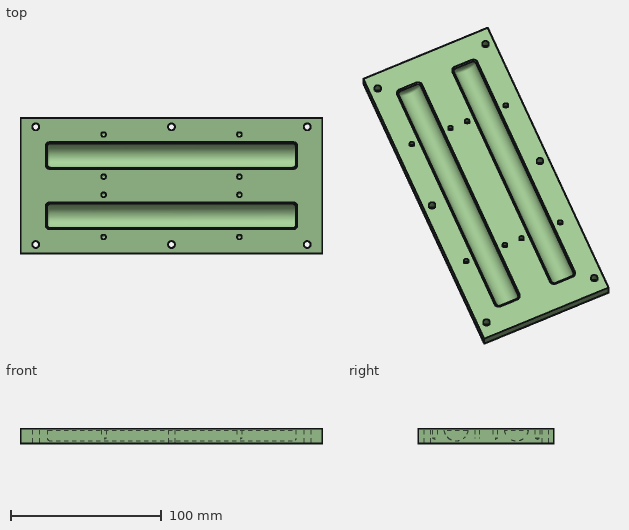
import cadquery as cq
import math

LENGTH = 200.0
WIDTH = 90.0
THICKNESS = 10.0

TROUGH_SPACING = 40.0
TROUGH_LENGTH = 165.0
TROUGH_RADIUS = 8.0
TROUGH_END_FILLET = 2.0
TROUGH_RIM_CHAMFER = 1.0
RIM_TAPER = 45.0

MOUNT_DIAMETER = 4.5
MOUNT_SPACING_X = 90.0
MOUNT_SPACING_Y = 78.0

BLIND_DIAMETER = 3.2
BLIND_DEPTH = 6.0
DRILL_POINT_ANGLE = 118.0
BLIND_SPACING_X = 90.0
BLIND_SPACING_Y = 28.0

TROUGH_CENTRES = (-TROUGH_SPACING / 2, TROUGH_SPACING / 2)


def make_trough(centre_y):
    """Half-cylinder cutter with rounded ends and a flared rim."""
    half_cylinder = (
        cq.Workplane("YZ", origin=(-TROUGH_LENGTH / 2, centre_y, THICKNESS))
        .moveTo(-TROUGH_RADIUS, 0)
        .threePointArc((0, -TROUGH_RADIUS), (TROUGH_RADIUS, 0))
        .close()
        .extrude(TROUGH_LENGTH)
    )
    body = half_cylinder.edges("%CIRCLE").fillet(TROUGH_END_FILLET)
    rim_length = TROUGH_LENGTH + 2 * TROUGH_RIM_CHAMFER
    rim_width = 2 * (TROUGH_RADIUS + TROUGH_RIM_CHAMFER)
    rim_corner = TROUGH_END_FILLET + TROUGH_RIM_CHAMFER
    rim_outline = cq.Sketch().rect(rim_length, rim_width).vertices().fillet(rim_corner)
    rim = (
        cq.Workplane("XY", origin=(0, centre_y, THICKNESS))
        .placeSketch(rim_outline)
        .extrude(-TROUGH_RIM_CHAMFER, taper=RIM_TAPER)
    )
    return body.union(rim)


def make_drilled_hole():
    """Blind hole cutter with a conical tip, its mouth at the origin."""
    radius = BLIND_DIAMETER / 2
    tip_length = radius / math.tan(math.radians(DRILL_POINT_ANGLE / 2))
    half_profile = [
        (0, 0),
        (radius, 0),
        (radius, -BLIND_DEPTH),
        (0, -BLIND_DEPTH - tip_length),
    ]
    profile = cq.Workplane("XZ").polyline(half_profile).close()
    return profile.revolve(360, (0, 0, 0), (0, 1, 0)).val()


plate = cq.Workplane("XY").box(LENGTH, WIDTH, THICKNESS, centered=(True, True, False))

for trough_y in TROUGH_CENTRES:
    plate = plate.cut(make_trough(trough_y))

mount_holes = (
    cq.Workplane("XY")
    .rarray(MOUNT_SPACING_X, MOUNT_SPACING_Y, 3, 2)
    .circle(MOUNT_DIAMETER / 2)
    .extrude(THICKNESS)
)
plate = plate.cut(mount_holes)

for trough_y in TROUGH_CENTRES:
    drill_positions = cq.Workplane("XY", origin=(0, trough_y, THICKNESS)).rarray(
        BLIND_SPACING_X, BLIND_SPACING_Y, 2, 2
    )
    plate = plate.cut(drill_positions.eachpoint(make_drilled_hole(), combine=False))

result = plate